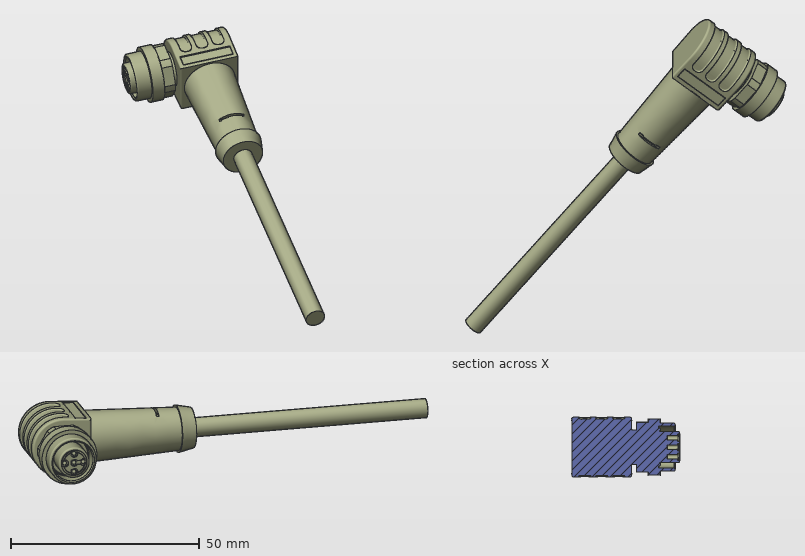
import cadquery as cq
import math


head_radius = 8.0
head_end_x = head_radius
head_end_height = 7.5
head_half_width = head_radius
head_fillet = 0.5
flank_start_angle = 85

groove_count = 3
groove_pitch = 4.5
groove_width = 3.2
groove_depth = 0.4
groove_floor_fillet = 0.3
groove_end_x = 2.5
groove_corner = 1.4

panel_start_x = 3.8
panel_end_x = 6.8
panel_width = 13.8
panel_floor = 7.3

boot_start_radius = 7.0
boot_end_radius = 5.8
collar_start_x = 33.5
collar_end_x = 37.5
collar_start_radius = 6.4
collar_end_radius = 5.5
slit_x = 27.4
slit_width = 0.7
slit_floor = 5.0
cable_diameter = 5.2
total_length = 109.7
cable_end_x = total_length - head_radius

neck_diameter = 9.3
hex_start = 9.2
grip_start = 12.3
grip_end = 15.6
barrel_end = 19.5
hex_across_flats = 13.3
hex_corner_diameter = 14.3
grip_diameter = 15.0
barrel_diameter = 12.8
bore_diameter = 11.0
barrel_fillet = 0.4
bore_depth = 4.4
bore_chamfer = 0.3

insert_end = 20.7
insert_diameter = 8.3
insert_fillet = 0.4
seal_mean_diameter = 9.3
seal_thickness = seal_mean_diameter - insert_diameter
face_ring_outer_radius = 3.5
face_ring_inner_radius = 3.0
face_ring_depth = 0.3
contact_diameter = 1.1
recess_diameter = 1.9
recess_depth = 0.5
slot_width = 1.1
outer_contact_count = 4
contact_circle_radius = 2.5
contact_depth = 3.3


def socket_cylinder(diameter, start, end):
    """Cylinder on the socket axis between two distances from the cable axis."""
    plane = cq.Workplane("XZ", origin=(0, -start, 0))
    return plane.circle(diameter / 2).extrude(end - start)


def head_outline(offset=0.0):
    """D-shaped outline of the head in the XZ plane, shrunk by offset."""
    radius = head_radius - offset
    tangent_x = radius * math.cos(math.radians(flank_start_angle))
    tangent_z = radius * math.sin(math.radians(flank_start_angle))
    end_z = head_end_height - offset
    return (
        cq.Workplane("XZ", origin=(0, head_half_width, 0))
        .moveTo(head_end_x, -end_z)
        .lineTo(head_end_x, end_z)
        .lineTo(tangent_x, tangent_z)
        .threePointArc((-radius, 0), (tangent_x, -tangent_z))
        .close()
    )


def make_head():
    """Plain head with its two end faces rounded off."""
    head = head_outline().extrude(2 * head_half_width)
    return head.faces("<Y or >Y").edges().fillet(head_fillet)


def groove_cutter(center_y):
    """Rounded-end band around the back of the head, outside the groove floor."""
    clearance = 2 * head_radius
    length = groove_end_x + clearance
    band = (
        cq.Workplane("XY")
        .box(length, groove_width, 2 * clearance)
        .translate((groove_end_x - length / 2, center_y, 0))
        .edges("|Z and >X")
        .fillet(groove_corner)
    )
    cutter = band.cut(head_outline(groove_depth).extrude(2 * head_half_width))
    floor_edges = cq.selectors.BoxSelector(
        (-head_radius, -head_half_width, -head_radius), (head_radius, head_half_width, head_radius)
    )
    return cutter.edges(floor_edges).fillet(groove_floor_fillet)


def panel_cutter(side):
    """Pocket on one flank; side is +1 for the top and -1 for the bottom."""
    depth = head_radius - panel_floor
    pocket = cq.Workplane("XY").box(panel_end_x - panel_start_x, panel_width, depth)
    return pocket.translate(((panel_start_x + panel_end_x) / 2, 0, side * (panel_floor + depth / 2)))


def make_boot_and_cable():
    """Tapered boot with end collar and cable, slit across at top and bottom."""
    profile = (
        cq.Workplane("XZ")
        .moveTo(0, 0)
        .lineTo(0, boot_start_radius)
        .lineTo(head_end_x, boot_start_radius)
        .lineTo(collar_start_x, boot_end_radius)
        .lineTo(collar_start_x, collar_start_radius)
        .lineTo(collar_end_x, collar_end_radius)
        .lineTo(collar_end_x, cable_diameter / 2)
        .lineTo(cable_end_x, cable_diameter / 2)
        .lineTo(cable_end_x, 0)
        .close()
    )
    boot = profile.revolve(360, (0, 0, 0), (1, 0, 0))
    for side in (1, -1):
        slit_height = boot_start_radius
        slit = cq.Workplane("XY").box(slit_width, 2 * boot_start_radius, slit_height)
        boot = boot.cut(slit.translate((slit_x, 0, side * (slit_floor + slit_height / 2))))
    return boot


def make_nut():
    """Hexagon with turned corners, grip ring and open barrel."""
    flats = (
        cq.Workplane("XZ", origin=(0, -hex_start, 0))
        .polygon(6, hex_across_flats / math.cos(math.pi / 6))
        .extrude(grip_start - hex_start)
    )
    nut = flats.intersect(socket_cylinder(hex_corner_diameter, hex_start, grip_start))
    nut = nut.union(socket_cylinder(grip_diameter, grip_start, grip_end))
    barrel = socket_cylinder(barrel_diameter, grip_start, barrel_end)
    nut = nut.union(barrel.faces("<Y").edges().fillet(barrel_fillet))
    nut = nut.cut(socket_cylinder(bore_diameter, barrel_end - bore_depth, barrel_end))
    bore_rim = cq.selectors.RadiusNthSelector(0)
    return nut.faces("<Y").edges(bore_rim).chamfer(bore_chamfer)


def make_insert():
    """Contact carrier with recessed contact holes and a shallow ring groove in its face."""
    insert = socket_cylinder(insert_diameter, grip_start, insert_end)
    insert = insert.faces("<Y").edges().fillet(insert_fillet)

    ring_start = insert_end - face_ring_depth
    ring = socket_cylinder(2 * face_ring_outer_radius, ring_start, insert_end)
    ring = ring.cut(socket_cylinder(2 * face_ring_inner_radius, ring_start, insert_end))

    contacts = [(0, 0)]
    for index in range(outer_contact_count):
        angle = 2 * math.pi * index / outer_contact_count
        contacts.append((contact_circle_radius * math.cos(angle), contact_circle_radius * math.sin(angle)))
    insert = (
        insert.faces("<Y")
        .workplane(origin=(0, -insert_end, 0))
        .pushPoints(contacts)
        .cboreHole(contact_diameter, recess_diameter, recess_depth, contact_depth)
    )

    slot = (
        cq.Workplane("XZ", origin=(contact_circle_radius / 2, -insert_end, 0))
        .rect(contact_circle_radius, slot_width)
        .extrude(-recess_depth)
    )
    return insert.cut(ring).cut(slot)


def make_seal():
    """O-ring around the insert, half sunk into the floor of the nut bore."""
    floor_y = bore_depth - barrel_end
    section = cq.Workplane("XY").center(seal_mean_diameter / 2, floor_y).circle(seal_thickness / 2)
    return section.revolve(360, (-seal_mean_diameter / 2, 0, 0), (-seal_mean_diameter / 2, 1, 0))


head = make_head()
for index in range(groove_count):
    head = head.cut(groove_cutter((index - (groove_count - 1) / 2) * groove_pitch))
for side in (1, -1):
    head = head.cut(panel_cutter(side))

result = (
    head.union(make_boot_and_cable())
    .union(socket_cylinder(neck_diameter, 0, hex_start))
    .union(make_nut())
    .union(make_seal())
    .union(make_insert())
)